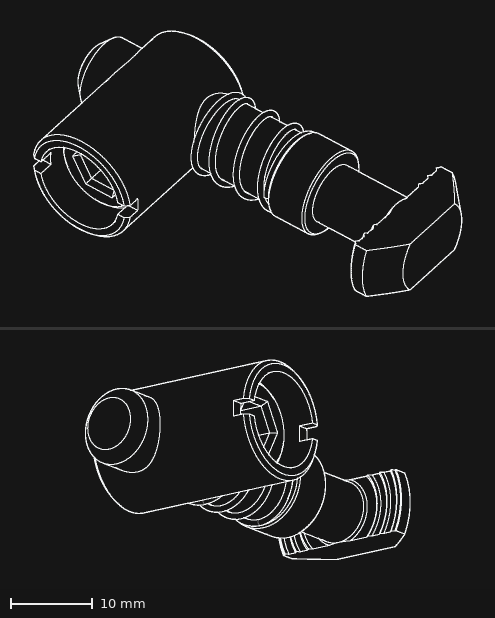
import cadquery as cq
import math


overall_length = 52.0
tip_x = -11.5
shank_radius = 4.8
tip_chamfer = 1.5
collar_start_x = 19.45
collar_end_x = 25.05
collar_radius = 5.7
collar_chamfer = 0.25
neck_radius = 3.9
head_end_x = tip_x + overall_length
head_thickness_x = 5.3
head_radius = 9.45
head_cone = 3.55
head_width_z = 2 * neck_radius
head_seat_x = head_end_x - head_thickness_x

ridge_height = 0.3
ridge_half_width = 0.3
ridge_pitch = 1.5
outer_ridge_radius = 9.0
ridge_count = 3

barrel_radius = 7.5
barrel_back_y = 6.0
barrel_front_y = -18.0
barrel_chamfer = 0.5
bore_radius = 6.0
bore_overrun = 0.5
slot_width = 2.0
slot_depth = 2.05

screw_recess = 3.95
screw_chamfer = 0.6
socket_width = 6.0
socket_mouth_width = 7.0
socket_mouth_depth = 0.8
socket_depth = 4.0

wire_diameter = 0.8
coil_radius = 5.2
helix_turns = 3
end_ring_angle = 270


def turned_solid(points):
    """Solid of revolution about the X axis from (x, radius) points."""
    return cq.Workplane("XY").polyline(points).close().revolve(360, (0, 0, 0), (1, 0, 0))


def make_head():
    """Coned disc with ridges and a neck flare on its seat, cut to two flats above and below."""
    cone_start_x = head_end_x - head_cone
    disc = turned_solid([
        (head_seat_x - ridge_height, 0),
        (head_seat_x - ridge_height, neck_radius),
        (head_seat_x, neck_radius + ridge_half_width),
        (head_seat_x, head_radius),
        (cone_start_x, head_radius),
        (head_end_x, head_radius - head_cone),
        (head_end_x, 0),
    ])
    for index in range(ridge_count):
        peak_radius = outer_ridge_radius - index * ridge_pitch
        ridge = turned_solid([
            (head_seat_x, peak_radius - ridge_half_width),
            (head_seat_x - ridge_height, peak_radius),
            (head_seat_x, peak_radius + ridge_half_width),
        ])
        disc = disc.union(ridge)
    flats = cq.Workplane("XY").box(2 * overall_length, 2 * head_radius, head_width_z)
    return disc.intersect(flats)


def make_bolt():
    """Shank, collar and neck turned in one piece with the head."""
    shaft = turned_solid([
        (tip_x, 0),
        (tip_x, shank_radius - tip_chamfer),
        (tip_x + tip_chamfer, shank_radius),
        (collar_start_x, shank_radius),
        (collar_start_x, collar_radius - collar_chamfer),
        (collar_start_x + collar_chamfer, collar_radius),
        (collar_end_x - collar_chamfer, collar_radius),
        (collar_end_x, collar_radius - collar_chamfer),
        (collar_end_x, neck_radius),
        (head_seat_x, neck_radius),
        (head_seat_x, 0),
    ])
    return shaft.union(make_head())


def barrel_plane(y):
    """Workplane across the barrel axis, facing toward +Y."""
    return cq.Workplane(cq.Plane((0, y, 0), (1, 0, 0), (0, 1, 0)))


def make_barrel():
    barrel_length = barrel_back_y - barrel_front_y
    barrel = barrel_plane(barrel_front_y).circle(barrel_radius).extrude(barrel_length)
    barrel = barrel.faces("<Y or >Y").chamfer(barrel_chamfer)
    bore_length = -shank_radius + bore_overrun - barrel_front_y
    bore = barrel_plane(barrel_front_y).circle(bore_radius).extrude(bore_length)
    bolt_hole = cq.Workplane("YZ").circle(shank_radius).extrude(barrel_radius, both=True)
    slot = barrel_plane(barrel_front_y).rect(2 * barrel_radius, slot_width).extrude(slot_depth)
    return barrel.cut(bore).cut(bolt_hole).cut(slot)


def hexagon_diameter(width_across_flats):
    return width_across_flats / math.cos(math.radians(30))


def make_set_screw():
    face_y = barrel_front_y + screw_recess
    screw_length = -shank_radius - face_y
    screw = barrel_plane(face_y).circle(bore_radius).extrude(screw_length)
    screw = screw.faces("<Y").chamfer(screw_chamfer)
    socket = barrel_plane(face_y).polygon(6, hexagon_diameter(socket_width)).extrude(socket_depth)
    mouth = (
        barrel_plane(face_y)
        .polygon(6, hexagon_diameter(socket_mouth_width))
        .workplane(offset=socket_mouth_depth)
        .polygon(6, hexagon_diameter(socket_width))
        .loft(ruled=True)
    )
    return screw.cut(socket).cut(mouth)


def make_spring():
    """Open helix with a flat part-ring at each end, coiled about local Z and then laid along X."""
    helix_height = collar_start_x - barrel_radius - wire_diameter
    wire_radius = wire_diameter / 2
    helix = cq.Wire.makeHelix(helix_height / helix_turns, helix_height, coil_radius)
    spring = cq.Workplane("XZ").center(coil_radius, 0).circle(wire_radius).sweep(helix, isFrenet=True)
    for ring_height, turn_direction in [(0, -1), (helix_height, 1)]:
        section = cq.Workplane("XZ").center(coil_radius, ring_height).circle(wire_radius)
        end_ring = section.revolve(end_ring_angle, (-coil_radius, 0, 0), (-coil_radius, turn_direction, 0))
        spring = spring.union(end_ring)
    start_x = barrel_radius + wire_radius
    along_bolt = cq.Plane((start_x, 0, 0), (0, 0, -1), (1, 0, 0))
    return cq.Workplane(spring.val().moved(cq.Location(along_bolt)))


bolt = make_bolt()
barrel = make_barrel()
set_screw = make_set_screw()
spring = make_spring()

result = cq.Compound.makeCompound([bolt.val(), barrel.val(), set_screw.val(), spring.val()])